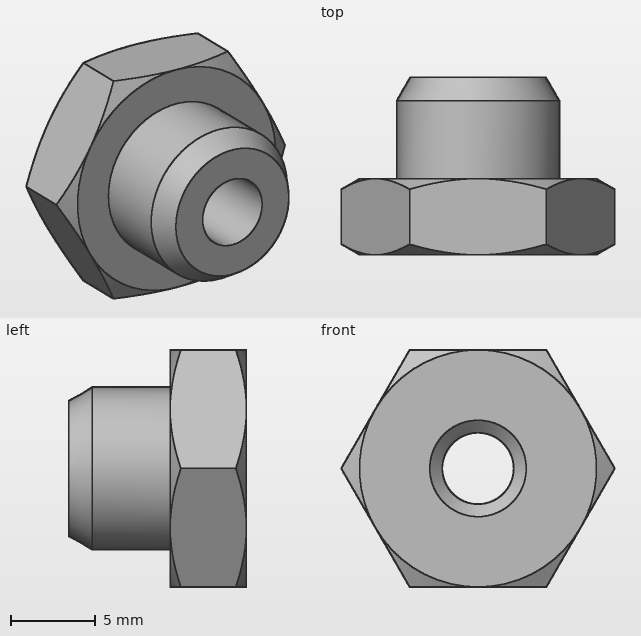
import cadquery as cq
import math

hex_sides = 6
across_flats = 14.0
head_thickness = 4.5
total_length = 10.5
shank_diameter = 9.63
tip_diameter = 8.0
tip_angle = 30.0
head_chamfer_angle = 30.0
bore_diameter = 4.2
countersink_diameter = 5.7
countersink_angle = 90.0

across_corners = across_flats / math.cos(math.pi / hex_sides)
flat_radius = across_flats / 2
corner_radius = across_corners / 2
corner_drop = (corner_radius - flat_radius) * math.tan(math.radians(head_chamfer_angle))
shank_radius = shank_diameter / 2
tip_radius = tip_diameter / 2
tip_length = (shank_radius - tip_radius) / math.tan(math.radians(tip_angle))
bore_radius = bore_diameter / 2
countersink_radius = countersink_diameter / 2
countersink_slope = math.tan(math.radians(countersink_angle / 2))
countersink_depth = (countersink_radius - bore_radius) / countersink_slope


def revolve_about_y(profile):
    """Revolve a closed (radius, Y) profile around the Y axis."""
    return cq.Workplane("XY").polyline(profile).close().revolve(360, (0, 0, 0), (0, 1, 0))


def make_head():
    """Hexagon with corners on X, its corners chamfered conically on both faces."""
    hexagon = cq.Workplane("XZ").polygon(hex_sides, across_corners).extrude(-head_thickness)
    chamfer_envelope = revolve_about_y([
        (0, 0),
        (flat_radius, 0),
        (corner_radius, corner_drop),
        (corner_radius, head_thickness - corner_drop),
        (flat_radius, head_thickness),
        (0, head_thickness),
    ])
    return hexagon.intersect(chamfer_envelope)


def make_shank():
    """Cylinder behind the head, ending in a conical tip."""
    return revolve_about_y([
        (0, head_thickness),
        (shank_radius, head_thickness),
        (shank_radius, total_length - tip_length),
        (tip_radius, total_length),
        (0, total_length),
    ])


def make_bore():
    """Through bore with a countersink in the head face."""
    return revolve_about_y([
        (0, 0),
        (countersink_radius, 0),
        (bore_radius, countersink_depth),
        (bore_radius, total_length),
        (0, total_length),
    ])


result = make_head().union(make_shank()).cut(make_bore())